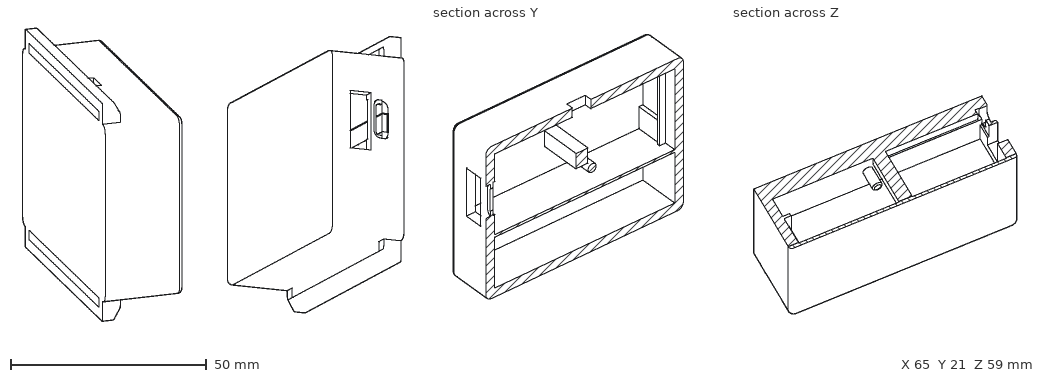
import cadquery as cq
import math


LENGTH = 65.0
DEPTH = 21.0
HEIGHT = 48.0
CORNER_R = 2.0
BACK_FILLET = 1.0
WALL = 3.0
PLATE = 5.1
LID_Y = DEPTH - BACK_FILLET
INNER_HEIGHT = HEIGHT - 2 * WALL
LEFT = -LENGTH / 2
INNER_LEFT = LEFT + WALL
INNER_RIGHT = -INNER_LEFT

TOTAL_HEIGHT = 59.0
LUG_LENGTH = LENGTH - 2 * CORNER_R
LUG_DEPTH = 4.8
LUG_BAR = 3.0
LUG_FILLET = 0.5
LUG_SLOPE = math.radians(30)
LUG_REACH = (TOTAL_HEIGHT - HEIGHT) / 2
STRAP_SLOT = LUG_REACH - LUG_BAR
STRAP_SLOT_R = 0.25

WINDOW_Y = (9.2, 15.0)
WINDOW_Z = (-1.5, 13.6)

PORT_Y = 5.85
PORT_Z = 7.15
PORT_WIDTH = 4.8
PORT_HEIGHT = 10.35
PORT_R = 2.0
PORT_FILLET = 0.5
PORT_RECESS = 1.5
PORT_STEP = 1.05
PORT_WALL = 2.5
PORT_LIP_Y = 5.5

BUTTON_X = (-4.0, 2.0)
BUTTON_Y = (PORT_LIP_Y, 9.4)

SHELF_TOP = -4.2
SHELF = 1.0
PILLAR_X = (-2.85, 1.05)
PILLAR_Z = (4.3, 9.15)
CHANNEL_FLOOR = 4.6
NOTCH_FLOOR = 3.25
NOTCH_LENGTH = 1.0
LEDGE_Y = (10.85, 11.75)
LEDGE_REACH = 1.95
BOSS_D = 2.8
BOSS_X = 2.5
BOSS_Z = 2.2
BOSS_CHAMFER = 0.4
TAB_TOP = 2.65
TAB_REACH = 1.3


def block(xs, ys, zs):
    """Box between the given pairs of X, Y and Z limits."""
    size = (xs[1] - xs[0], ys[1] - ys[0], zs[1] - zs[0])
    return cq.Workplane().box(*size, centered=False).translate((xs[0], ys[0], zs[0]))


def case_outline():
    """Outer shape of the closed case: rounded corners and a rounded back edge."""
    case = cq.Workplane("XZ").rect(LENGTH, HEIGHT).extrude(-DEPTH)
    return case.edges("|Y").fillet(CORNER_R).faces(">Y").edges().fillet(BACK_FILLET)


def back_zone():
    """Region taken up by the lid plate."""
    return block((-LENGTH, LENGTH), (LID_Y, 2 * DEPTH), (-HEIGHT, HEIGHT))


def upper_lug():
    """Strap loop above the case, with a sloped back and a slot for the strap."""
    case_top = HEIGHT / 2
    root = case_top - WALL
    slot_top = case_top + STRAP_SLOT
    lug_top = TOTAL_HEIGHT / 2
    top_depth = LUG_DEPTH - LUG_BAR * math.tan(LUG_SLOPE)
    lug = (
        cq.Workplane("YZ")
        .polyline([(0, root), (LUG_DEPTH, root), (LUG_DEPTH, slot_top), (top_depth, lug_top), (0, lug_top)])
        .close()
        .extrude(LUG_LENGTH / 2, both=True)
    )
    sloped_and_top_edges = cq.selectors.BoxSelector(
        (-LENGTH, LUG_FILLET / 4, slot_top + LUG_FILLET / 4), (LENGTH, DEPTH, TOTAL_HEIGHT)
    )
    lug = lug.edges(sloped_and_top_edges).fillet(LUG_FILLET)
    slot = (
        cq.Workplane("XZ")
        .center(0, case_top + STRAP_SLOT / 2)
        .rect(LUG_LENGTH - 2 * LUG_BAR, STRAP_SLOT)
        .extrude(-DEPTH)
        .edges("|Y")
        .fillet(STRAP_SLOT_R)
    )
    return lug.cut(slot)


def port_prism(inset, depth):
    """Rounded rectangle around the port axis, from the left side to `depth` inside it."""
    return (
        cq.Workplane("YZ", origin=(LEFT, PORT_Y, PORT_Z))
        .rect(PORT_WIDTH - 2 * inset, PORT_HEIGHT - 2 * inset)
        .extrude(depth)
        .edges("|X")
        .fillet(PORT_R - inset)
    )


def port_cutter():
    """Recess and smaller opening of the port; in front of the lip the recess runs through the wall."""
    recess = port_prism(0, PORT_RECESS)
    opening = port_prism(PORT_STEP, PORT_WALL)
    front_zone = block((-LENGTH, LENGTH), (-DEPTH, PORT_LIP_Y), (-HEIGHT, HEIGHT))
    return recess.union(opening).union(port_prism(0, PORT_WALL).intersect(front_zone))


def make_housing():
    """Front plate, side walls and strap lugs, with the openings and the inner supports."""
    inner_x = (INNER_LEFT, INNER_RIGHT)
    housing = case_outline().cut(back_zone())

    housing = housing.cut(port_prism(0, PORT_RECESS))
    around_port = cq.selectors.BoxSelector(
        (LEFT - PORT_FILLET, PORT_Y - PORT_WIDTH, PORT_Z - PORT_HEIGHT),
        (LEFT + PORT_FILLET, PORT_Y + PORT_WIDTH, PORT_Z + PORT_HEIGHT),
    )
    housing = housing.faces("<X").edges(around_port).fillet(PORT_FILLET)

    housing = housing.cut(block(inner_x, (PLATE, DEPTH), (-INNER_HEIGHT / 2, INNER_HEIGHT / 2)))

    housing = housing.cut(port_cutter())
    housing = housing.cut(block((LEFT, INNER_LEFT), WINDOW_Y, WINDOW_Z))
    housing = housing.cut(block(BUTTON_X, BUTTON_Y, (INNER_HEIGHT / 2, HEIGHT / 2)))

    port_end = LEFT + PORT_WALL
    relief_z = (PORT_Z - PORT_HEIGHT / 2, PORT_Z + PORT_HEIGHT / 2)
    housing = housing.cut(block((port_end, INNER_LEFT), (PLATE, WINDOW_Y[0]), relief_z))

    housing = housing.cut(block((port_end, PILLAR_X[0]), (CHANNEL_FLOOR, PLATE), PILLAR_Z))
    housing = housing.cut(block((port_end, port_end + NOTCH_LENGTH), (NOTCH_FLOOR, PLATE), PILLAR_Z))

    housing = housing.union(block(inner_x, (PLATE, LID_Y), (SHELF_TOP - SHELF, SHELF_TOP)))
    housing = housing.union(block(PILLAR_X, (CHANNEL_FLOOR, LID_Y), PILLAR_Z))
    ledge_z = (SHELF_TOP, INNER_HEIGHT / 2)
    housing = housing.union(block((INNER_RIGHT - LEDGE_REACH, INNER_RIGHT), LEDGE_Y, ledge_z))
    boss = cq.Workplane("XZ", origin=(BOSS_X, PLATE, BOSS_Z)).circle(BOSS_D / 2).extrude(PLATE - LEDGE_Y[0])
    housing = housing.union(boss.faces(">Y").chamfer(BOSS_CHAMFER))

    lug = upper_lug()
    return housing.union(lug).union(lug.mirror("XY")).clean().solids()


def make_lid():
    """Back plate with the rounded edge, and a tab that reaches down to the ledge."""
    lid = case_outline().intersect(back_zone())
    tab = block((INNER_RIGHT - TAB_REACH, INNER_RIGHT), (LEDGE_Y[1], LID_Y), (SHELF_TOP, TAB_TOP))
    return lid.union(tab).solids()


housing = make_housing()
lid = make_lid()

result = cq.Compound.makeCompound([housing.val(), lid.val()])